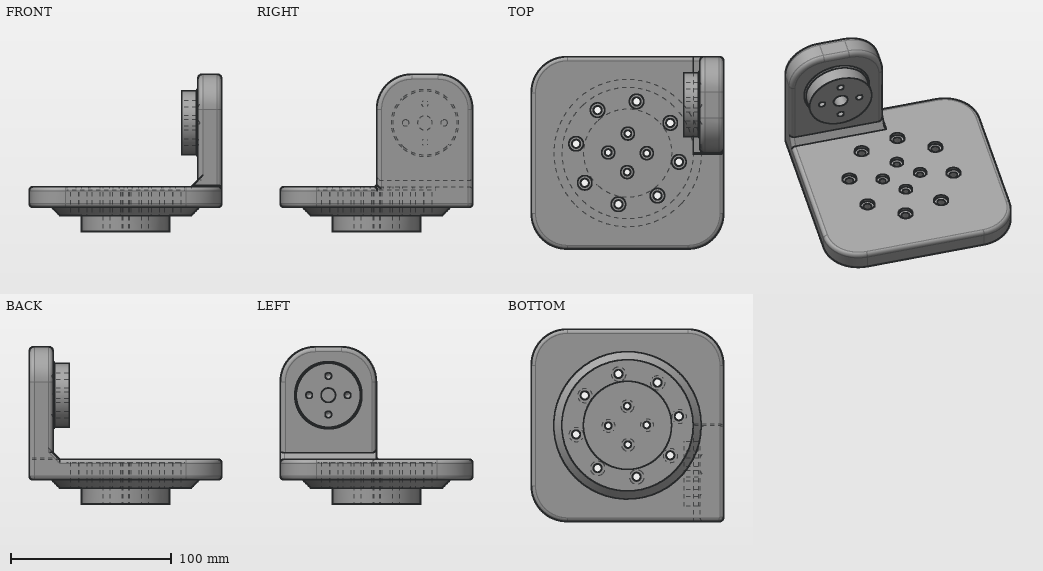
import cadquery as cq
import math

plate_size = 120.0
total_height = 98.0

plate_thickness = 13.0
plate_corner_radius = 22.5
plate_edge_radius = 2.5

slope_angle = 45.0

cone_height = 5.0
cone_top_radius = 46.0
base_boss_diameter = 55.0
base_boss_height = 10.0

wall_thickness = 15.0
wall_width = plate_size / 2
wall_corner_radius = 22.0
wall_edge_radius = 3.0

foot_size = 4.0
flare_size = 1.0

wall_boss_diameter = 40.0
wall_boss_length = 10.0
wall_boss_drop = 30.2
wall_boss_flare = 1.0
centre_hole_diameter = 9.0
pin_hole_diameter = 4.1
pin_hole_count = 4
pin_circle_radius = 12.0
wall_hole_depth = wall_boss_length
drill_tip_angle = 118.0

counterbore_depth = 2.0
outer_hole_count = 8
outer_hole_diameter = 5.0
outer_counterbore_diameter = 9.0
outer_circle_radius = 32.5
outer_start_angle = 35.0
inner_hole_count = 4
inner_hole_diameter = 4.1
inner_counterbore_diameter = 8.0
inner_circle_radius = 12.0
inner_start_angle = -1.0

half_plate = plate_size / 2
plate_middle = plate_thickness / 2
underside_depth = cone_height + base_boss_height
wall_top = total_height - underside_depth
wall_front = half_plate - wall_thickness
foot_toe = wall_front - foot_size
wall_side = half_plate - wall_width
wall_boss_y = half_plate - wall_width / 2
wall_boss_z = wall_top - wall_boss_drop


def make_plate():
    """Rounded plate whose corner under the wall has the smaller wall edge radius."""
    plate = cq.Workplane("XY").box(plate_size, plate_size, plate_thickness, centered=(True, True, False))
    plate = plate.edges("|Z").edges("<X or <Y").fillet(plate_corner_radius)
    plate = plate.edges("|Z").edges(">(1, 1, 0)").fillet(wall_edge_radius)
    return plate.faces("<Z or >Z").edges().fillet(plate_edge_radius)


def make_underside():
    """45 degree cone and round boss below the plate."""
    cone = cq.Workplane("XY").circle(cone_top_radius).extrude(-cone_height, taper=slope_angle)
    boss = cq.Workplane("XY").circle(base_boss_diameter / 2).extrude(-underside_depth)
    return cone.union(boss)


def make_wall():
    """Upright wall with two rounded top corners, rooted inside the plate."""
    wall = cq.Workplane("XY").box(
        wall_thickness, wall_width, wall_top - plate_middle, centered=False
    ).translate((wall_front, wall_side, plate_middle))
    wall = wall.edges("|X and >Z").fillet(wall_corner_radius)
    return wall.faces("<X or >X").edges("not <Z").fillet(wall_edge_radius)


def make_foot():
    """Foot whose 45 degree slope carries the rounded plate edge up into the wall."""
    run = foot_size + wall_edge_radius
    section = (
        cq.Workplane("YZ", origin=(foot_toe, 0, 0))
        .moveTo(wall_side, plate_edge_radius)
        .lineTo(half_plate, plate_edge_radius)
        .lineTo(half_plate, plate_thickness - plate_edge_radius)
        .radiusArc((half_plate - plate_edge_radius, plate_thickness), -plate_edge_radius)
        .lineTo(wall_side, plate_thickness)
        .close()
    )
    face = cq.Face.makeFromWires(section.wire().val())
    return cq.Workplane(cq.Solid.extrudeLinear(face, cq.Vector(run, 0, run)))


def make_flare():
    """45 degree flare round the free side of the wall, trimmed by the foot slope and the plate edge."""
    flare_top = plate_thickness + flare_size
    length = half_plate - foot_toe
    root = cq.Workplane("XY").box(length, wall_width / 2, flare_size, centered=False)
    root = root.translate((foot_toe, wall_side, flare_top))
    root = root.edges("|Z and >X and <Y").fillet(wall_edge_radius)
    root_outline = root.faces("<Z").wires().toPending().workplane()
    skirt = root_outline.extrude(flare_size, taper=-slope_angle, combine=False)
    skirt_outline = skirt.faces("<Z").wires().toPending().workplane()
    base = skirt_outline.extrude(plate_middle, combine=False)
    envelope = (
        cq.Workplane("XZ", origin=(0, half_plate, 0))
        .polyline([
            (foot_toe, plate_middle),
            (foot_toe, plate_thickness),
            (foot_toe + flare_size, flare_top),
            (half_plate - plate_edge_radius, flare_top),
        ])
        .radiusArc((half_plate, flare_top - plate_edge_radius), plate_edge_radius)
        .lineTo(half_plate, plate_middle)
        .close()
        .extrude(plate_size)
    )
    return skirt.union(base).intersect(envelope)


def make_wall_boss():
    """Round boss facing -X with a flared root."""
    face = cq.Workplane("YZ", origin=(wall_front, wall_boss_y, wall_boss_z))
    radius = wall_boss_diameter / 2
    boss = face.circle(radius).extrude(-wall_boss_length)
    return boss.union(face.circle(radius + wall_boss_flare).extrude(-wall_boss_flare, taper=slope_angle))


def circle_points(count, radius, start_angle):
    """Evenly spaced points on a circle."""
    angles = [math.radians(start_angle + i * 360 / count) for i in range(count)]
    return [(radius * math.cos(a), radius * math.sin(a)) for a in angles]


def make_wall_holes():
    """Flat centre hole and four drilled holes with conical ends in the wall boss."""
    face = cq.Workplane("YZ", origin=(wall_front - wall_boss_length, wall_boss_y, wall_boss_z))
    holes = face.circle(centre_hole_diameter / 2).extrude(wall_hole_depth)
    pin_radius = pin_hole_diameter / 2
    tip_length = pin_radius / math.tan(math.radians(drill_tip_angle / 2))
    for y, z in circle_points(pin_hole_count, pin_circle_radius, 0):
        drill = (
            cq.Workplane("XY")
            .lineTo(0, pin_radius)
            .lineTo(wall_hole_depth, pin_radius)
            .lineTo(wall_hole_depth + tip_length, 0)
            .close()
            .revolve(360, (0, 0, 0), (1, 0, 0))
        )
        holes = holes.union(
            drill.translate((wall_front - wall_boss_length, wall_boss_y + y, wall_boss_z + z))
        )
    return holes


def drill_plate(body, points, diameter, counterbore_diameter):
    """Cut counterbored holes from the plate top down through everything below."""
    top = cq.Workplane("XY", origin=(0, 0, plate_thickness)).pushPoints(points)
    through = top.circle(diameter / 2).extrude(-plate_thickness - underside_depth)
    counterbore = top.circle(counterbore_diameter / 2).extrude(-counterbore_depth)
    return body.cut(through).cut(counterbore)


result = make_plate()
for addition in (make_underside(), make_wall(), make_foot(), make_flare(), make_wall_boss()):
    result = result.union(addition)
result = result.cut(make_wall_holes())
result = drill_plate(
    result,
    circle_points(outer_hole_count, outer_circle_radius, outer_start_angle),
    outer_hole_diameter,
    outer_counterbore_diameter,
)
result = drill_plate(
    result,
    circle_points(inner_hole_count, inner_circle_radius, inner_start_angle),
    inner_hole_diameter,
    inner_counterbore_diameter,
)